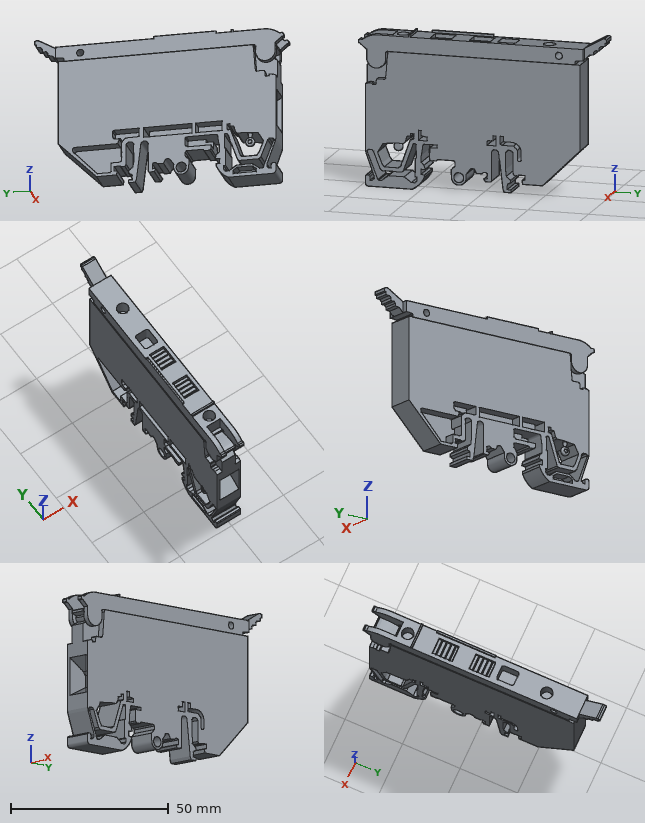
import cadquery as cq

body_width = 9.1
lid_width = 8.6
tongue_width = 5.15
cheek_width = (body_width - tongue_width) / 2
pocket_depth = 3.75

front_face = 0.2
rear_face = 71.25
deck = 44.5
lid_top = 49.6
lid_rear = 72.15
lid_height = lid_top - deck
foot_level = 4.2
clip_roof = 14.8
window_top = 19.4
window_bottom = 16.15

hinge_y = 3.7
hinge_z = 41.95
hinge_radius = 3.2
recess_rear = 8.7

raise_height = 0.7
round_hole_radius = 1.95
lid_opening_x = 0.3
cross_hole_radius = 1.15

louvre_width = 5.4
louvre_length = 6.85
louvre_depth = 1.2
louvre_groove_depth = 2.0
louvre_groove_width = 0.3
louvre_pitch = 1.55
louvre_count = 4

boss_y = 31.1
boss_z = 4.9
boss_radius = 2.45
boss_hole_radius = 1.6

stud_y = 8.8
stud_z = 11.75
stud_radius = 1.5
stud_length = 1.3
stud_inset = 0.5
stud_rounding = 0.5
stud_dimple_radius = 0.65
stud_dimple_depth = 0.4
stud_neck_radius = 0.3
stud_root_radius = 1.0
stud_root_z = 15.2


def slab(path, width, x_center=0.0):
    """Closed (Y, Z) outline extruded along X; a four-number step is an arc: middle point, end point."""
    outline = cq.Workplane("YZ", origin=(x_center - width / 2, 0, 0)).moveTo(*path[0])
    for step in path[1:]:
        if len(step) == 4:
            outline = outline.threePointArc(step[:2], step[2:])
        else:
            outline = outline.lineTo(*step)
    return outline.close().extrude(width)


def through(path):
    return slab(path, body_width)


def side_pocket(path):
    """Blind pocket opening on the -X side."""
    return slab(path, pocket_depth, (pocket_depth - body_width) / 2)


def rod(y, z, radius, x_start, length):
    return cq.Workplane("YZ", origin=(x_start, 0, 0)).center(y, z).circle(radius).extrude(length)


def box(x_center, y_center, z_bottom, x_size, y_size, z_size):
    block = cq.Workplane("XY").box(x_size, y_size, z_size, centered=(True, True, False))
    return block.translate((x_center, y_center, z_bottom))


rear_foot = [
    (rear_face, deck), (rear_face, 16.5), (58.8, foot_level), (52.2, foot_level), (52.0, 5.5), (53.0, 5.6),
    (53.0, 7.1), (51.1, 7.1), (50.8, 6.85), (49.5, 6.85), (49.05, 7.4),
]
spring_leg = [
    (49.05, 14.2), (47.8, 15.0, 46.6, 14.2), (46.6, 8.5), (46.85, 6.45), (48.2, 5.2), (48.2, 4.3), (47.2, 3.8),
    (47.1, 2.1), (48.3, 2.1), (48.3, 1.15), (46.1, 1.15), (45.7, 2.1), (44.3, 13.6),
]
center_foot = [
    (42.9, 14.85, 41.9, 13.7), (41.9, 4.5), (41.6, foot_level), (39.9, foot_level), (39.3, 5.1), (40.5, 5.2),
    (40.5, 6.8), (39.9, 7.2, 39.25, 7.1), (38.8, 6.7), (36.9, 6.7), (36.4, 7.7), (35.6, 8.2, 34.85, 7.9),
]
boss_lip = [
    (boss_y + boss_radius, 6.2), (boss_y + boss_radius, boss_z),
    (boss_y, boss_z - boss_radius, boss_y - boss_radius, boss_z), (28.6, 7.35), (29.8, 8.65), (29.8, 9.8),
    (29.4, 10.3), (24.0, 10.3), (23.6, 9.8), (21.8, 9.8), (21.4, 10.3), (21.4, 12.0), (21.55, 14.0),
    (23.9, 14.0), (23.9, 15.0),
]
front_foot = [
    (19.9, 15.0), (19.35, 14.8, 19.2, 14.2), (18.7, 11.1), (18.7, 9.05), (19.6, 8.2), (20.0, 6.85), (18.5, 6.7),
    (18.5, 5.1), (19.75, 5.0), (19.7, 4.2), (18.1, 1.8, 15.75, 0), (1.3, 0), (0.5, 0.3, front_face, 1.2),
    (front_face, 3.3), (0.4, 3.7), (1.3, 3.7), (1.7, 3.35), (1.7, 1.95), (2.4, 1.95), (3.1, 2.7), (3.1, 3.35),
    (0.4, 10.85), (front_face, 11.8),
]
tongue_top = [
    (front_face, 39.25), (2.8, 40.65), (2.1, 41.3, 1.9, 41.95), (2.3, 42.6), (front_face, 43.25),
    (front_face, 44.0), (0.65, 44.2), (1.8, 44.4), (4.2, 44.2, 6.45, 43.7), (7.6, 43.7), (7.6, deck),
]
housing = through(rear_foot + spring_leg + center_foot + boss_lip + front_foot + tongue_top)
housing = housing.cut(rod(boss_y, boss_z, boss_hole_radius, -body_width / 2, body_width))

rear_pocket = [
    (50.6, clip_roof), (65.9, clip_roof), (66.6, 14.2, 66.35, 13.3), (58.5, 5.15), (54.35, 5.15), (53.95, 5.6),
    (53.95, 8.4), (51.4, 8.4), (50.8, 8.65, 50.5, 9.3),
]
hook_pocket = [
    (53.1, window_top), (44.8, window_top), (44.8, 17.05), (49.2, 17.05), (51.4, 16.4), (52.8, 16.5),
    (53.5, 17.3), (53.5, 19.0),
]
long_pocket = [(43.4, window_bottom), (43.4, window_top), (27.6, window_top), (27.6, window_bottom)]
short_pocket = [(26.4, window_bottom), (26.4, window_top), (17.7, window_top), (17.7, window_bottom)]
lip_pocket = [(29.8, 14.7), (29.5, 15.0), (21.4, 15.0), (21.4, 11.6), (28.9, 11.6), (29.8, 12.25)]
foot_pocket = [(14.2, 1.15), (14.2, 2.2), (12.8, 3.2), (8.0, 3.2), (6.6, 2.2), (6.6, 1.15)]
for pocket in (rear_pocket, hook_pocket, long_pocket, short_pocket, lip_pocket, foot_pocket):
    housing = housing.cut(side_pocket(pocket))

hook_slot = [
    (45.9, window_top), (44.8, window_top), (44.8, 16.8), (45.45, 16.5), (49.2, 16.5), (50.5, 15.3),
    (50.5, 12.1), (51.1, 11.6, 51.7, 12.1), (51.7, 14.9), (50.9, 16.65, 48.6, 17.7), (45.9, 17.7),
]
long_pocket_slot = [
    (43.4, window_top), (42.35, window_top), (42.35, 17.7), (40.7, 17.7), (40.4, 17.3), (40.4, window_bottom),
    (43.4, window_bottom),
]
short_pocket_slot = [
    (18.7, window_top), (17.7, window_top), (17.7, window_bottom), (20.65, window_bottom), (20.65, 17.4),
    (18.7, 17.7),
]
wire_window = [
    (16.15, 18.2), (15.2, 18.2), (15.2, 17.4), (13.95, 17.2), (13.4, 15.35), (12.8, clip_roof), (10.6, clip_roof),
    (5.95, 14.3), (4.25, 11.35), (5.7, 7.7), (6.45, 6.7), (11.1, 6.7), (11.8, 7.3), (15.0, 16.15), (15.75, 16.2),
    (16.15, 16.6),
]
foot_window = [
    (17.0, 14.6), (16.4, 15.0, 15.9, 14.6), (12.7, 5.8), (12.25, 5.4), (5.7, 5.4), (5.1, 6.0), (2.85, 11.6),
    (2.4, 12.1), (1.3, 12.1), (0.7, 11.6), (4.3, 2.45), (4.65, 2.2), (5.55, 2.2), (7.8, 3.9), (13.05, 3.9),
    (15.4, 2.2), (16.6, 2.2), (17.2, 2.9), (17.2, 4.1), (16.65, 4.2), (16.65, 10.1), (17.0, 10.3),
]
for opening in (hook_slot, long_pocket_slot, short_pocket_slot, wire_window, foot_window):
    housing = housing.cut(through(opening))

funnel_width = 7.3
funnel_x = 0.25
funnel = [(front_face, 16.8), (6.9, 20.15), (6.9, 24.0), (6.1, 25.2), (front_face, 29.0)]
housing = housing.cut(slab(funnel, funnel_width, funnel_x))

cheek_notch = [
    (-0.4, deck), (7.6, deck), (7.1, 37.95), (6.85, 35.7), (6.5, 35.3), (4.1, 35.3), (3.8, 35.1), (3.7, 33.55),
    (3.4, 33.4), (2.5, 33.4), (2.4, 33.9), (1.4, 33.9), (-0.4, 33.2),
]
for side in (-1, 1):
    housing = housing.cut(slab(cheek_notch, cheek_width, side * (body_width - cheek_width) / 2))

lid_outline = [
    (lid_rear, lid_top), (lid_rear, 45.9), (71.1, 45.9), (69.7, 45.6), (69.45, 45.3), (69.45, deck), (7.3, deck),
    (hinge_y + hinge_radius, 44.1), (hinge_y + hinge_radius, hinge_z),
    (hinge_y, hinge_z - hinge_radius, hinge_y - hinge_radius, hinge_z), (0.5, 44.6), (-1.7, 46.5), (-2.2, 46.7),
    (-2.2, 47.5), (-1.7, 47.9), (-1.0, 47.75), (1.2, 49.05, 3.75, lid_top),
]
lid = slab(lid_outline, lid_width)
recess_front = -4.1
recess_length = recess_rear - recess_front
recess_bottom = hinge_z - hinge_radius
lid = lid.cut(box(0, recess_rear - recess_length / 2, recess_bottom, tongue_width, recess_length,
                  lid_top - recess_bottom))

handle = [
    (lid_rear, lid_top), (78.2, 53.05), (78.75, 53.1), (79.4, 52.8), (79.4, 51.7), (78.8, 51.6), (78.8, 50.7),
    (77.5, 50.6), (76.9, 49.95), (76.9, 49.05), (75.7, 49.05), (75.2, 48.5), (75.2, 47.7), (73.7, 47.4),
    (lid_rear, 45.9),
]
lid = lid.union(slab(handle, tongue_width))

strip_rear = 40.15
strip_front = 19.8
strip_width = 0.65
strip_length = strip_rear - strip_front
lid = lid.union(box((strip_width - lid_width) / 2, strip_front + strip_length / 2, lid_top, strip_width,
                    strip_length, raise_height))
rib_y = 14.6
rib_thickness = 0.6
lid = lid.union(box(0, rib_y, lid_top, lid_width, rib_thickness, raise_height))

for hole_y in (59.9, 11.6):
    hole = cq.Workplane("XY", origin=(lid_opening_x, hole_y, deck)).circle(round_hole_radius).extrude(lid_height)
    lid = lid.cut(hole)
viewer_x = 0.1
viewer_y = 46.3
viewer_width = 5.0
viewer_length = 5.95
viewer_corner = 0.7
viewer = box(viewer_x, viewer_y, deck, viewer_width, viewer_length, lid_height)
lid = lid.cut(viewer.edges("|Z").fillet(viewer_corner))
cross_hole_y = 64.15
cross_hole_z = 47.0
lid = lid.cut(rod(cross_hole_y, cross_hole_z, cross_hole_radius, -lid_width / 2, lid_width))


def louvre(y_center):
    """Shallow recess with deeper cross grooves."""
    cutter = box(lid_opening_x, y_center, lid_top - louvre_depth, louvre_width, louvre_length, louvre_depth)
    for i in range(louvre_count):
        groove_y = y_center + (i - (louvre_count - 1) / 2) * louvre_pitch
        cutter = cutter.union(box(lid_opening_x, groove_y, lid_top - louvre_groove_depth, louvre_width,
                                  louvre_groove_width, louvre_groove_depth))
    return cutter


for louvre_y in (37.5, 24.7):
    lid = lid.cut(louvre(louvre_y))

stud_x = stud_inset - body_width / 2
stud = rod(stud_y, stud_z, stud_radius, stud_x, stud_length).edges().fillet(stud_rounding)
stud = stud.cut(rod(stud_y, stud_z, stud_dimple_radius, stud_x, stud_dimple_depth))
neck_bottom = stud_z + stud_radius - stud_dimple_depth
neck = cq.Workplane("XY", origin=(stud_x + stud_length / 2, stud_y, neck_bottom)).circle(stud_neck_radius)
neck = neck.workplane(offset=stud_root_z - neck_bottom).circle(stud_root_radius).loft()

result = housing.union(lid).union(stud).union(neck)